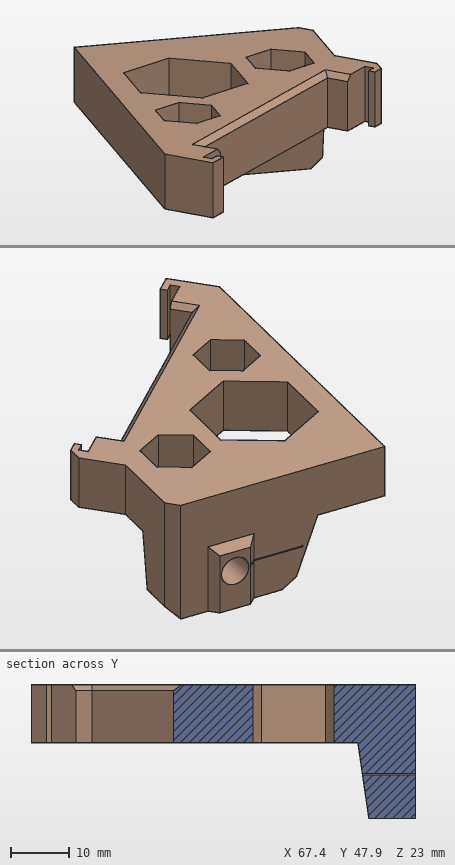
import cadquery as cq
import math

overall_length = 67.4
key_protrusion = 1.5

plate_height = 10.0
plate_depth = 41.9
base_length = 59.2
corner_chamfer = 2.0
top_of_ear = 47.85
tip_x = overall_length - key_protrusion
tip_y = tip_x - base_length

clip_middle = 12.05
notch_half_length = 22.0
notch_floor_out = 44.4
seat_out = 48.4
hook_out = (tip_x + tip_y) / math.sqrt(2)
hook_thickness = 1.3
hook_lip_half_span = 26.15
hook_slot_half_span = 27.9
upper_ear_along = -18.3
notch_chamfer = 1.0

window_left = 9.9
window_front = 4.6
large_window = 22.05
rear_window = 12.05
rear_window_y = 32.3
right_window = 11.5
right_window_x = 39.0

arm_height = 13.0
arm_top_width = 9.9
arm_bottom_width = 8.0
arm_front_top = 13.1
arm_front_knee = 17.25
arm_front_bottom = 20.1
arm_knee_height = 1.8

key_width = 8.95
key_center_y = 30.05
screw_diameter = 5.3
screw_z = -5.4

slit_rear = 26.55
slit_length = 10.6
slit_thickness = 0.2

side_cut_length = key_protrusion + arm_top_width


def clip_point(along, out):
    """Convert diagonal clip coordinates to X, Y."""
    return (out + along) / math.sqrt(2), (out - along) / math.sqrt(2)


def hook_points(side):
    """Hook and seat outline, from the hook tip to the notch floor; side is -1 (upper) or 1 (lower)."""
    lip = clip_middle + side * hook_lip_half_span
    slot = clip_middle + side * hook_slot_half_span
    notch = clip_middle + side * notch_half_length
    return [
        clip_point(lip, hook_out),
        clip_point(lip, hook_out - hook_thickness),
        clip_point(slot, hook_out - hook_thickness),
        clip_point(slot, seat_out),
        clip_point(notch, seat_out),
        clip_point(notch, notch_floor_out),
    ]


def make_plate():
    ear_slope = math.sqrt(2) * upper_ear_along
    hook_sum = tip_x + tip_y
    outline = [
        (0, 0),
        (base_length, 0),
        (tip_x, tip_y),
        *hook_points(1),
        *reversed(hook_points(-1)),
        (hook_sum - top_of_ear, top_of_ear),
        (top_of_ear + ear_slope, top_of_ear),
        (plate_depth + ear_slope, plate_depth),
        (0, plate_depth),
    ]
    return cq.Workplane("XY").polyline(outline).close().extrude(plate_height)


def make_notch_chamfer():
    """Cutter that widens the notch floor and both ends at the top face."""
    def notch_rectangle(growth):
        half_length = notch_half_length + growth
        floor = notch_floor_out - growth
        corners = [(-half_length, floor), (half_length, floor),
                   (half_length, seat_out), (-half_length, seat_out)]
        return [clip_point(clip_middle + along, out) for along, out in corners]

    return (
        cq.Workplane("XY", origin=(0, 0, plate_height - notch_chamfer))
        .polyline(notch_rectangle(0)).close()
        .workplane(offset=notch_chamfer)
        .polyline(notch_rectangle(notch_chamfer)).close()
        .loft(ruled=True)
    )


def make_window(center_x, center_y, across_corners):
    return (
        cq.Workplane("XY").center(center_x, center_y)
        .polygon(6, across_corners).extrude(plate_height)
    )


def make_arm():
    side_outline = [
        (arm_front_top, 0),
        (arm_front_knee, arm_knee_height - arm_height),
        (arm_front_bottom, -arm_height),
        (plate_depth - corner_chamfer, -arm_height),
        (plate_depth, corner_chamfer - arm_height),
        (plate_depth, 0),
    ]
    taper_outline = [(0, 0), (arm_top_width, 0), (arm_bottom_width, -arm_height), (0, -arm_height)]
    side = cq.Workplane("YZ").polyline(side_outline).close().extrude(arm_top_width)
    taper = cq.Workplane("XZ").polyline(taper_outline).close().extrude(-plate_depth)
    return side.intersect(taper)


def make_key():
    """Key tapering outward on its top and both sides, flush with the arm bottom."""
    def key_face(plane, inset):
        half_width = key_width / 2 - inset
        return plane.polyline([
            (key_center_y - half_width, -arm_height),
            (key_center_y + half_width, -arm_height),
            (key_center_y + half_width, -inset),
            (key_center_y - half_width, -inset),
        ]).close()

    base = key_face(cq.Workplane("YZ"), 0)
    return key_face(base.workplane(offset=-key_protrusion), key_protrusion).loft(ruled=True)


def make_screw_hole():
    return (
        cq.Workplane("YZ", origin=(-key_protrusion, 0, 0)).center(key_center_y, screw_z)
        .circle(screw_diameter / 2).extrude(side_cut_length)
    )


def make_slit():
    return (
        cq.Workplane("YZ", origin=(-key_protrusion, 0, 0)).center(slit_rear - slit_length / 2, screw_z)
        .rect(slit_length, slit_thickness).extrude(side_cut_length)
    )


windows = [
    (window_left + large_window / 2, window_front + large_window * math.sqrt(3) / 4, large_window),
    (window_left + rear_window / 2, rear_window_y, rear_window),
    (right_window_x, window_front + right_window * math.sqrt(3) / 4, right_window),
]

body = make_plate().cut(make_notch_chamfer())
for center_x, center_y, across_corners in windows:
    body = body.cut(make_window(center_x, center_y, across_corners))

corner_bevel = (
    cq.Workplane("XY", origin=(0, 0, -arm_height))
    .polyline([(0, plate_depth), (corner_chamfer, plate_depth), (0, plate_depth - corner_chamfer)])
    .close().extrude(arm_height + plate_height)
)
body = body.union(make_arm()).cut(corner_bevel)
result = body.union(make_key()).cut(make_screw_hole()).cut(make_slit())